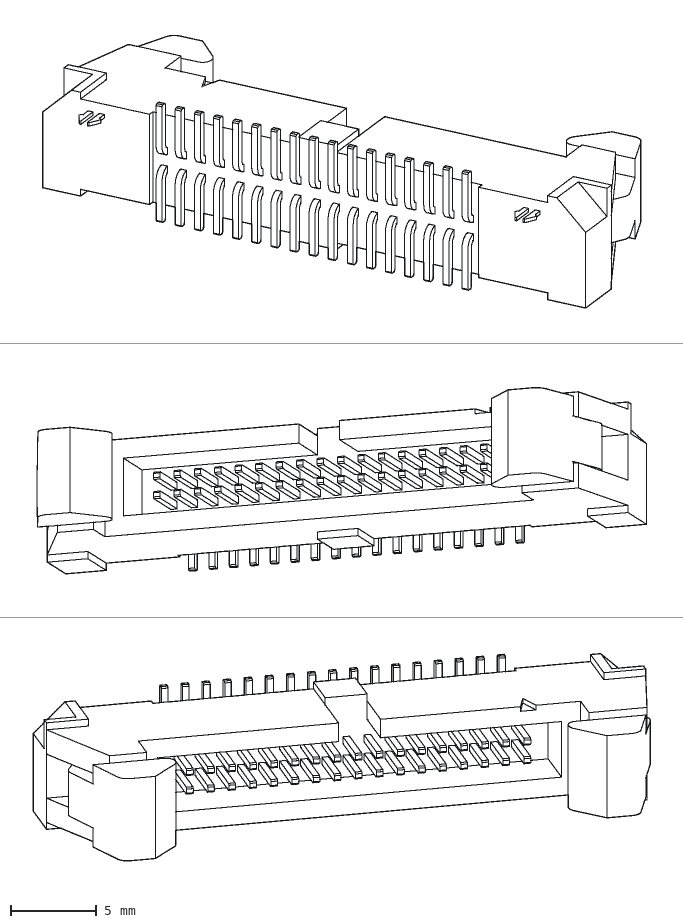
import cadquery as cq
import math


SHELL_HEIGHT = 5.77
SHELL_WALL = 1.15
MOUTH_Y = 6.28
FLANGE_Y = 3.15
FLANGE_HEIGHT = 6.65
HALF_LENGTH = 18.05
FLANGE_INNER_X = 15.5

TOWER_Y = 8.22
TOWER_INNER_X = 13.3
LEFT_TOWER_OUTER_X = 16.8
RIGHT_TOWER_OUTER_X = 15.55

CORNER_RIM = 0.55
CORNER_WIDTH = 1.9
CORNER_DROP = 1.8

RECESS_DEPTH = 0.4
RECESS_HALF_WIDTH = 10.93
KEY_WIDTH = 2.52
MARK_WIDTH = 0.95
MARK_LENGTH = 1.3
MARK_DEPTH = 0.3

COLUMNS = 17
PITCH = 1.27
PIN_WIDTH = 0.4
PIN_THICKNESS = 0.45
PIN_ROW_Z = 0.58
PIN_TIP_Y = 6.1
PIN_CHAMFER = 0.09
TAIL_REACH = 3.75
TAIL_Y = -0.05
BEND_RADIUS = 0.75

LOCK_X = 14.45
LOCK_Z = 2.13
LOCK_THICKNESS = 0.2
LOCK_LENGTH = 1.48
LOCK_STEP_Y = -0.58
LOCK_BARB_Y = -0.75
LOCK_GAP = 0.45
LOCK_BASE_X = 0.55
LOCK_BARB_X = 0.72
LOCK_TIP_X = 0.32
LOCK_ROOT = 0.35

LATCH_TIP_Y = 11.35
HEAD_Y = 8.6
HEAD_HEIGHT = 5.12
STEM_HEIGHT = 2.75
CREST_INNER_X = 13.6
CREST_OUTER_X = 15.6
CREST_RADIUS = 0.72
NOSE_X = 11.83
NOSE_Y = 9.52
NOSE_TOP_RADIUS = 0.72
NOSE_BOTTOM_RADIUS = 0.58
ELBOW_X = 17.55
ELBOW_Y = 6.15
ELBOW_RADIUS = 0.75
FOOT_X = 15.87


def box(x_min, x_max, y_min, y_max, z_min, z_max):
    """Box between the given limits."""
    return cq.Workplane("XY").box(
        x_max - x_min, y_max - y_min, z_max - z_min, centered=False
    ).translate((x_min, y_min, z_min))


def plate(points, z_middle, thickness):
    """Polygon in the XY plane, extruded equally to both sides of z_middle."""
    return (
        cq.Workplane("XY", origin=(0, 0, z_middle))
        .polyline(points).close().extrude(thickness / 2, both=True)
    )


def make_shell():
    """Outer block of the housing with its towers, flanges and key block."""
    outline = [
        (-HALF_LENGTH, 0),
        (HALF_LENGTH, 0),
        (HALF_LENGTH, FLANGE_Y),
        (RIGHT_TOWER_OUTER_X, TOWER_Y),
        (TOWER_INNER_X, TOWER_Y),
        (TOWER_INNER_X, MOUTH_Y),
        (-TOWER_INNER_X, MOUTH_Y),
        (-TOWER_INNER_X, TOWER_Y),
        (-LEFT_TOWER_OUTER_X, TOWER_Y),
        (-HALF_LENGTH, FLANGE_Y),
    ]
    shell = plate(outline, 0, SHELL_HEIGHT)
    half = FLANGE_HEIGHT / 2
    shell = shell.union(box(-HALF_LENGTH, -FLANGE_INNER_X, 0, FLANGE_Y, -half, half))
    shell = shell.union(box(FLANGE_INNER_X, HALF_LENGTH, 0, FLANGE_Y, -half, half))
    return shell.union(box(-KEY_WIDTH / 2, KEY_WIDTH / 2, 0, FLANGE_Y, -half, half))


def corner_cutter(side):
    """Wedge that slopes the upper outer corner of one flange."""
    top = FLANGE_HEIGHT / 2
    return (
        cq.Workplane("XZ")
        .polyline([
            (side * HALF_LENGTH, top),
            (side * (HALF_LENGTH - CORNER_WIDTH), top),
            (side * HALF_LENGTH, top - CORNER_DROP),
        ])
        .close()
        .extrude(-(FLANGE_Y - CORNER_RIM))
    )


def latch_slot(side):
    """Slot through one tower that the latch stem fills or swings in."""
    near, far = sorted((side * TOWER_INNER_X, side * HALF_LENGTH))
    return box(near, far, FLANGE_Y, TOWER_Y, -STEM_HEIGHT / 2, STEM_HEIGHT / 2)


def make_contact(column_x, row):
    """Right-angle contact; row is +1 for the upper row and -1 for the lower."""
    near_z = PIN_ROW_Z - PIN_THICKNESS / 2
    far_z = PIN_ROW_Z + PIN_THICKNESS / 2
    back_y = TAIL_Y - PIN_THICKNESS / 2
    front_y = TAIL_Y + PIN_THICKNESS / 2
    bend_y = back_y + BEND_RADIUS
    bend_z = near_z + BEND_RADIUS
    inner_radius = BEND_RADIUS - PIN_THICKNESS
    diagonal = math.sqrt(0.5)
    profile = (
        cq.Workplane("YZ", origin=(column_x, 0, 0))
        .moveTo(PIN_TIP_Y - PIN_CHAMFER, near_z)
        .lineTo(bend_y, near_z)
        .threePointArc((bend_y - BEND_RADIUS * diagonal, bend_z - BEND_RADIUS * diagonal),
                       (back_y, bend_z))
        .lineTo(back_y, TAIL_REACH - PIN_CHAMFER)
        .lineTo(back_y + PIN_CHAMFER, TAIL_REACH)
        .lineTo(front_y - PIN_CHAMFER, TAIL_REACH)
        .lineTo(front_y, TAIL_REACH - PIN_CHAMFER)
        .lineTo(front_y, bend_z)
        .threePointArc((bend_y - inner_radius * diagonal, bend_z - inner_radius * diagonal),
                       (bend_y, far_z))
        .lineTo(PIN_TIP_Y - PIN_CHAMFER, far_z)
        .lineTo(PIN_TIP_Y, far_z - PIN_CHAMFER)
        .lineTo(PIN_TIP_Y, near_z + PIN_CHAMFER)
        .close()
    )
    contact = profile.extrude(PIN_WIDTH / 2, both=True)
    return contact if row > 0 else contact.mirror("XY")


def make_lock_prong(lock_x, side):
    """One barbed prong of a board lock, barb facing the given X side."""
    outline = [
        (LOCK_GAP / 2, LOCK_ROOT),
        (LOCK_BASE_X, LOCK_ROOT),
        (LOCK_BASE_X, LOCK_STEP_Y),
        (LOCK_BARB_X, LOCK_BARB_Y),
        (LOCK_TIP_X, -LOCK_LENGTH),
        (LOCK_GAP / 2, -LOCK_LENGTH),
    ]
    return plate([(lock_x + side * x, y) for x, y in outline], LOCK_Z, LOCK_THICKNESS)


def make_housing():
    """Housing with the contacts and board locks fixed in it."""
    half_height = SHELL_HEIGHT / 2
    housing = make_shell()

    pocket_x = TOWER_INNER_X - SHELL_WALL
    pocket_z = half_height - SHELL_WALL
    housing = housing.cut(box(-pocket_x, pocket_x, FLANGE_Y, MOUTH_Y, -pocket_z, pocket_z))

    housing = housing.cut(box(-KEY_WIDTH / 2, KEY_WIDTH / 2, FLANGE_Y, MOUTH_Y, 0, half_height))

    housing = housing.cut(box(-RECESS_HALF_WIDTH, RECESS_HALF_WIDTH, 0, RECESS_DEPTH,
                              -FLANGE_HEIGHT / 2, FLANGE_HEIGHT / 2))

    first_x = -PITCH * (COLUMNS - 1) / 2
    mark = [
        (first_x - MARK_WIDTH / 2, MOUTH_Y),
        (first_x + MARK_WIDTH / 2, MOUTH_Y),
        (first_x, MOUTH_Y - MARK_LENGTH),
    ]
    housing = housing.cut(plate(mark, half_height, 2 * MARK_DEPTH))

    for side in (-1, 1):
        housing = housing.cut(corner_cutter(side))
        housing = housing.cut(latch_slot(side))
        for prong_side in (-1, 1):
            housing = housing.union(make_lock_prong(side * LOCK_X, prong_side))

    for column in range(COLUMNS):
        for row in (-1, 1):
            housing = housing.union(make_contact(first_x + column * PITCH, row))
    return housing


def round_corner(body, x, y, radius):
    """Round the Z-direction edge of a plate at the given corner."""
    nearest = cq.selectors.NearestToPointSelector((x, y, 0))
    return body.edges("|Z").edges(nearest).fillet(radius)


def make_latch(side):
    """Ejector latch at one end: a wide hooked head on a narrow stem."""
    back_slope = (ELBOW_X - CREST_OUTER_X) / (LATCH_TIP_Y - ELBOW_Y)
    neck_back_x = CREST_OUTER_X + back_slope * (LATCH_TIP_Y - HEAD_Y)

    head_outline = [
        (neck_back_x, HEAD_Y),
        (CREST_OUTER_X, LATCH_TIP_Y),
        (CREST_INNER_X, LATCH_TIP_Y),
        (NOSE_X, NOSE_Y),
        (NOSE_X, HEAD_Y),
    ]
    head = plate(head_outline, 0, HEAD_HEIGHT)
    head = round_corner(head, CREST_OUTER_X, LATCH_TIP_Y, CREST_RADIUS)
    head = round_corner(head, NOSE_X, NOSE_Y, NOSE_TOP_RADIUS)
    head = round_corner(head, NOSE_X, HEAD_Y, NOSE_BOTTOM_RADIUS)

    stem_outline = [
        (TOWER_INNER_X, FLANGE_Y),
        (FOOT_X, FLANGE_Y),
        (ELBOW_X, ELBOW_Y),
        (neck_back_x, HEAD_Y),
        (TOWER_INNER_X, HEAD_Y),
    ]
    stem = plate(stem_outline, 0, STEM_HEIGHT)
    stem = round_corner(stem, ELBOW_X, ELBOW_Y, ELBOW_RADIUS)

    latch = head.union(stem).clean()
    return latch if side > 0 else latch.mirror("YZ")


housing = make_housing()
latches = [make_latch(side) for side in (-1, 1)]

result = cq.Compound.makeCompound([housing.val(), *[latch.val() for latch in latches]])